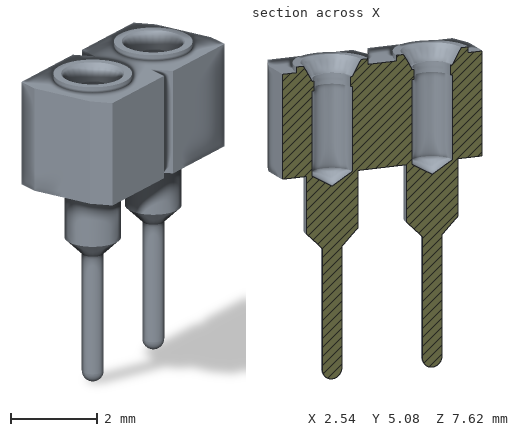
import cadquery as cq
import math

cell_count = 2
body_width = 2.54
body_length = 5.08
body_height = 2.54
pitch = body_length / cell_count
corner_inset_x = 0.495
corner_inset_y = 0.19

total_height = 7.62
collar_diameter = 1.83
collar_height = 0.14
barrel_diameter = 1.32
barrel_length = 1.38
taper_length = 0.4
pin_diameter = 0.51

mouth_diameter = 1.46
mouth_depth = 0.39
bore_diameter = 1.01
bore_depth = collar_height + body_height
bore_tip_angle = 120
ring_inner_diameter = 0.915
ring_height = 0.25

body_top = total_height - collar_height
body_bottom = body_top - body_height
barrel_bottom = body_bottom - barrel_length
taper_bottom = barrel_bottom - taper_length

cell_centers = [(i - (cell_count - 1) / 2) * pitch for i in range(cell_count)]


def revolve_profile(profile, center_y):
    """Close an (r, z) profile, revolve it about Z and move it to a cell center."""
    return profile.close().revolve(360, (0, 0, 0), (0, 1, 0)).translate((0, center_y, 0))


def housing_cell(center_y):
    """Square block whose four vertical corners are cut at a shallow angle."""
    half_x = body_width / 2
    half_y = pitch / 2
    flat_x = half_x - corner_inset_x
    flat_y = half_y - corner_inset_y
    outline = [
        (half_x, -flat_y), (half_x, flat_y), (flat_x, half_y), (-flat_x, half_y),
        (-half_x, flat_y), (-half_x, -flat_y), (-flat_x, -half_y), (flat_x, -half_y),
    ]
    block = cq.Workplane("XY").workplane(offset=body_bottom).polyline(outline).close().extrude(body_height)
    return block.translate((0, center_y, 0))


def contact(center_y):
    """Collar, barrel, taper and round-ended pin as one turned piece."""
    pin_radius = pin_diameter / 2
    dome_mid = pin_radius * math.sqrt(0.5)
    profile = (
        cq.Workplane("XZ")
        .moveTo(0, total_height)
        .lineTo(collar_diameter / 2, total_height)
        .lineTo(collar_diameter / 2, body_top)
        .lineTo(barrel_diameter / 2, body_top)
        .lineTo(barrel_diameter / 2, barrel_bottom)
        .lineTo(pin_radius, taper_bottom)
        .lineTo(pin_radius, pin_radius)
        .threePointArc((dome_mid, pin_radius - dome_mid), (0, 0))
    )
    return revolve_profile(profile, center_y)


def socket_hole(center_y):
    """Conical mouth, narrowing ring and wider blind bore with a conical bottom."""
    ring_top = total_height - mouth_depth
    ring_bottom = ring_top - ring_height
    bore_bottom = total_height - bore_depth
    bore_radius = bore_diameter / 2
    tip_depth = bore_radius / math.tan(math.radians(bore_tip_angle / 2))
    profile = (
        cq.Workplane("XZ")
        .moveTo(0, total_height)
        .lineTo(mouth_diameter / 2, total_height)
        .lineTo(bore_radius, ring_top)
        .lineTo(ring_inner_diameter / 2, ring_top)
        .lineTo(ring_inner_diameter / 2, ring_bottom)
        .lineTo(bore_radius, ring_bottom)
        .lineTo(bore_radius, bore_bottom)
        .lineTo(0, bore_bottom - tip_depth)
    )
    return revolve_profile(profile, center_y)


result = housing_cell(cell_centers[0])
for y in cell_centers[1:]:
    result = result.union(housing_cell(y))
for y in cell_centers:
    result = result.union(contact(y)).cut(socket_hole(y))